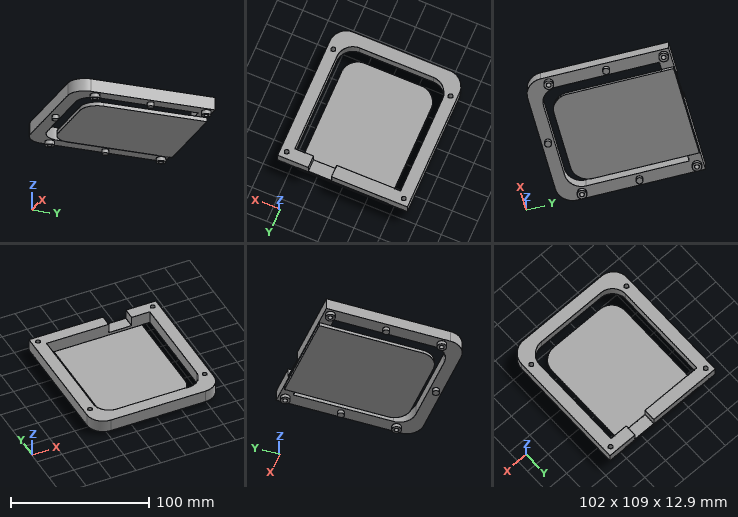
import cadquery as cq

frame_width = 102.0
frame_length = 109.0
frame_height = 9.9
rail_width = 9.6
corner_radius = 13.1
window_radius = 12.5

drop = 3.0
plate_width = 70.8
plate_back_gap = 0.4
plate_front_gap = 15.5

notch_left = 8.6
notch_width = 18.2
notch_depth = 7.6

foot_inset = 5.0
front_boss_from_back = 91.0
boss_diameter = 7.0
screw_hole_diameter = 3.4
pin_diameter = 5.0

back_y = frame_length / 2
front_y = -frame_length / 2
foot_x = frame_width / 2 - foot_inset
back_boss_y = back_y - foot_inset
front_boss_y = back_y - front_boss_from_back
boss_points = [(x, y) for x in (-foot_x, foot_x) for y in (back_boss_y, front_boss_y)]
side_pin_y = (back_boss_y + front_boss_y) / 2
pin_points = [(-foot_x, side_pin_y), (foot_x, side_pin_y), (0, front_y + foot_inset)]


def rounded_front_block(width, y_front, y_back, z_bottom, height, radius):
    """Block centred on X with its two front vertical edges rounded."""
    length = y_back - y_front
    return (
        cq.Workplane("XY", origin=(0, (y_front + y_back) / 2, z_bottom))
        .rect(width, length)
        .extrude(height)
        .faces("<Y")
        .edges("|Z")
        .fillet(radius)
    )


def make_frame():
    outer = rounded_front_block(frame_width, front_y, back_y, 0, frame_height, corner_radius)
    window = rounded_front_block(
        frame_width - 2 * rail_width,
        front_y + rail_width,
        back_y - rail_width,
        0,
        frame_height,
        window_radius,
    )
    notch = cq.Workplane("XY").box(notch_width, rail_width, notch_depth, centered=False)
    notch = notch.translate((notch_left, back_y - rail_width, frame_height - notch_depth))
    return outer.cut(window).cut(notch)


def make_plate():
    return rounded_front_block(
        plate_width,
        front_y + plate_front_gap,
        back_y - plate_back_gap,
        -drop,
        drop,
        corner_radius,
    )


def cylinders(points, diameter, height):
    """Upright cylinders that start at the bottom of the feet."""
    return cq.Workplane("XY").workplane(offset=-drop).pushPoints(points).circle(diameter / 2).extrude(height)


body = make_frame().union(make_plate())
body = body.union(cylinders(boss_points, boss_diameter, drop))
body = body.union(cylinders(pin_points, pin_diameter, drop))
result = body.cut(cylinders(boss_points, screw_hole_diameter, drop + frame_height))